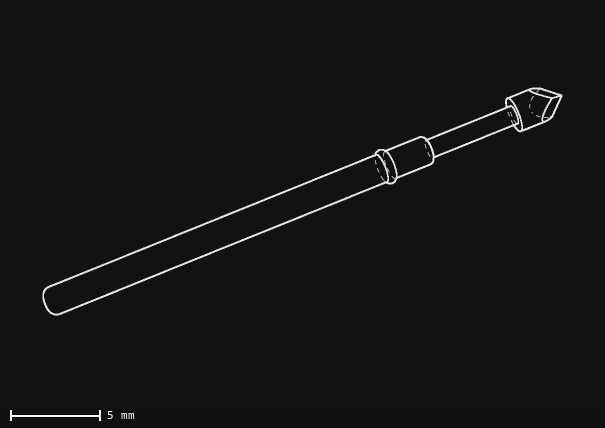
import cadquery as cq
import math

total_length = 32.3

head_diameter = 2.0
head_length = 3.0
face_count = 3
face_half_angle = 30.0

rod_diameter = 1.05

barrel_diameter = 1.65
barrel_length = 23.97
tail_rounding = 0.45

ring_diameter = head_diameter
ring_rim_radius = 0.3
ring_position = 21.25

head_radius = head_diameter / 2
rod_radius = rod_diameter / 2
barrel_radius = barrel_diameter / 2
ring_radius = ring_diameter / 2
mouth_rounding = barrel_radius - rod_radius
head_base = total_length - head_length


def cylinder(radius, start, end):
    """Solid cylinder on the Y axis between two Y positions."""
    length = end - start
    return cq.Workplane("XZ", origin=(0, start, 0)).circle(radius).extrude(-length)


def make_barrel():
    """Tube body with a rounded mouth and a rounded tail."""
    body = cylinder(barrel_radius, 0, barrel_length)
    body = body.faces(">Y").edges().fillet(mouth_rounding)
    return body.faces("<Y").edges().fillet(tail_rounding)


def make_press_ring():
    """Solid collar with a half-round rim that stands proud of the barrel."""
    rim_center = ring_radius - ring_rim_radius
    start = ring_position - ring_rim_radius
    end = ring_position + ring_rim_radius
    section = (
        cq.Workplane("XY")
        .moveTo(0, start)
        .lineTo(rim_center, start)
        .threePointArc((ring_radius, ring_position), (rim_center, end))
        .lineTo(0, end)
        .close()
    )
    return section.revolve(360, (0, 0), (0, 1))


def make_head():
    """Cylinder cut to a point by equally spaced flat faces, one facing +X."""
    head = cylinder(head_radius, head_base, total_length)
    reach = 2 * head_radius
    face_end = total_length - reach / math.tan(math.radians(face_half_angle))
    waste = (
        cq.Workplane("XY")
        .moveTo(0, total_length)
        .lineTo(reach, total_length)
        .lineTo(reach, face_end)
        .close()
        .extrude(reach, both=True)
    )
    for index in range(face_count):
        angle = index * 360 / face_count
        head = head.cut(waste.rotate((0, 0, 0), (0, 1, 0), angle))
    return head


rod = cylinder(rod_radius, ring_position, head_base)

result = make_barrel().union(make_press_ring()).union(rod).union(make_head())